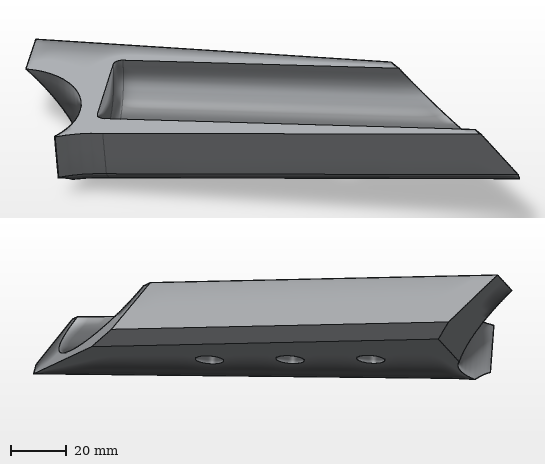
import cadquery as cq
import math

thickness = 22.0
tilt = 5.7
edge_chamfer = 4.9
clearance = 9.4

near_corner = (-0.2, 46.4)
left_side_angle = 26.4
right_side_angle = 32.8
side_length = 215.2
flare_start = (60.6, 11.2)
flare_middle = (53.5, 6.2)
tip = (47.7, 0.0)

near_end_direction = 29.5
near_end_slope = 1.0
far_end_corner = (117.7, 104.8)
far_end_direction = 251.7
far_end_slope = -0.55
end_cut_reach = 112.3

notch_center = (21.0, 4.9)
notch_radius = 26.8

trough_angle = 30.0
trough_radius = 19.5
trough_axis_height = 1.0
trough_length = 187.1
trough_end_fillet = 3.0
middle_hole = (88.1, 60.8)
trough_end_to_middle_hole = 52.8
hole_diameter = 10.1
hole_spacing = 30.0


def along(start, angle, distance):
    """Point at a distance from start in the given plan direction."""
    turn = math.radians(angle)
    return (start[0] + distance * math.cos(turn), start[1] + distance * math.sin(turn))


def make_plate():
    notch_side_corner = along(near_corner, near_end_direction - 90, notch_radius)
    plate = (
        cq.Workplane("XY", origin=(0, 0, -thickness))
        .moveTo(*near_corner)
        .lineTo(*along(near_corner, left_side_angle, side_length))
        .lineTo(*along(flare_start, right_side_angle, side_length))
        .lineTo(*flare_start)
        .threePointArc(flare_middle, tip)
        .lineTo(*notch_center)
        .lineTo(*notch_side_corner)
        .close()
        .extrude(thickness)
    )
    side_points = [
        along(near_corner, left_side_angle, side_length / 2),
        along(flare_start, right_side_angle, side_length / 2),
        flare_middle,
    ]
    bottom_edges = plate.faces("<Z").edges()
    side_edges = [
        bottom_edges.edges(cq.selectors.NearestToPointSelector((x, y, -thickness))).val()
        for x, y in side_points
    ]
    return plate.newObject(side_edges).chamfer(edge_chamfer)


def end_cutter(corner, inward_angle, slope):
    """Prism that removes everything outside a slanted end face through corner."""
    inward_x, inward_y = along((0, 0), inward_angle, 1)
    section = cq.Plane(
        origin=(*corner, 0),
        xDir=(inward_x, inward_y, 0),
        normal=(inward_y, -inward_x, 0),
    )
    bottom = -thickness - clearance
    return (
        cq.Workplane(section)
        .polyline([
            (-end_cut_reach, clearance),
            (-slope * clearance, clearance),
            (-slope * bottom, bottom),
            (-end_cut_reach, bottom),
        ])
        .close()
        .extrude(end_cut_reach, both=True)
    )


def make_notch():
    height = thickness + 2 * clearance
    return (
        cq.Workplane("XY", origin=(*notch_center, -thickness - clearance))
        .circle(notch_radius)
        .extrude(height)
    )


def make_trough():
    start = along(middle_hole, trough_angle, -trough_end_to_middle_hole)
    section = cq.Plane(
        origin=(*start, trough_axis_height),
        normal=(*along((0, 0), trough_angle, 1), 0),
    )
    cylinder = cq.Workplane(section).circle(trough_radius).extrude(trough_length)
    start_face = cq.selectors.NearestToPointSelector((*start, trough_axis_height))
    return cylinder.faces(start_face).edges().fillet(trough_end_fillet)


def make_holes():
    centers = [along(middle_hole, trough_angle, step * hole_spacing) for step in (-1, 0, 1)]
    return (
        cq.Workplane("XY", origin=(0, 0, -thickness - clearance))
        .pushPoints(centers)
        .circle(hole_diameter / 2)
        .extrude(thickness + clearance)
    )


flat_part = (
    make_plate()
    .cut(end_cutter(near_corner, near_end_direction, near_end_slope))
    .cut(end_cutter(far_end_corner, far_end_direction, far_end_slope))
    .cut(make_notch())
    .cut(make_trough())
    .cut(make_holes())
)
result = flat_part.rotate((0, 0, 0), (0, 1, 0), -tilt)